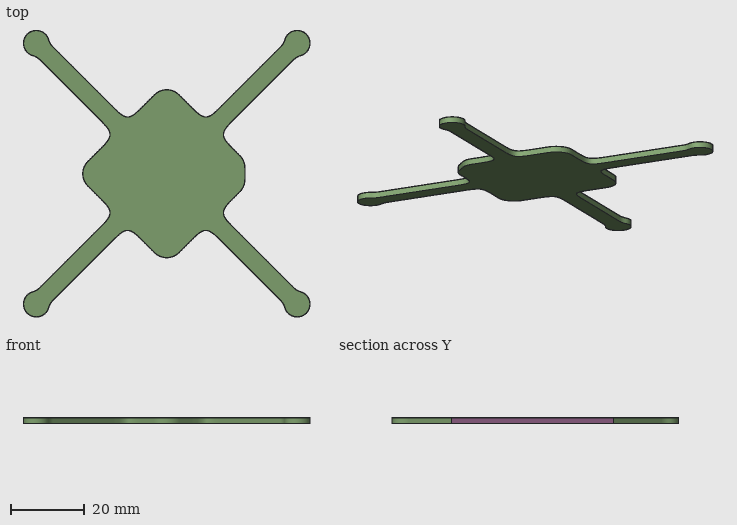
import cadquery as cq
import math

overall_size = 77.7
thickness = 1.6

half_body = 17.5
flat_distance = 21.2
body_corner_radius = 4.7

half_arm = 2.5
pad_radius = 3.5
neck_radius = 4.5
first_arm_angle = 45
last_arm_angle = 315

blend_reach = 5.0
blend_tension = 0.85

half_flat = half_body * math.sqrt(2) - flat_distance

pad_distance = (overall_size / 2 - pad_radius) * math.sqrt(2)
neck_center_across = half_arm + neck_radius
neck_distance = pad_distance - math.sqrt((pad_radius + neck_radius) ** 2 - neck_center_across**2)


def in_arm_frame(angle, along, across):
    """Point given along an arm and to the left of it."""
    turn = math.radians(angle)
    x = along * math.cos(turn) - across * math.sin(turn)
    y = along * math.sin(turn) + across * math.cos(turn)
    return (x, y)


def midpoint(start, end):
    return ((start[0] + end[0]) / 2, (start[1] + end[1]) / 2)


def toward(start, end, distance):
    """Point at a distance from start on the way to end."""
    fraction = distance / math.dist(start, end)
    return (start[0] + fraction * (end[0] - start[0]), start[1] + fraction * (end[1] - start[1]))


def add_blend(outline, before, corner, after):
    """Line up to a corner, then a smooth curve that is tightest at its middle."""
    pull = blend_reach * (1 - blend_tension)
    curve = [
        toward(corner, before, pull),
        toward(corner, after, pull),
        toward(corner, after, blend_reach),
    ]
    return outline.lineTo(*toward(corner, before, blend_reach)).bezier(curve, includeCurrent=True)


def add_round(outline, before, corner, after):
    """Line up to a corner, then a circular arc around it."""
    unit_before = toward(corner, before, 0.8)
    unit_after = toward(corner, after, 0.8)
    half_angle = math.asin(math.dist(unit_before, unit_after) / 1.55)
    reach = body_corner_radius / math.tan(half_angle)
    depth = body_corner_radius / math.sin(half_angle) - body_corner_radius
    arc_middle = toward(corner, midpoint(unit_before, unit_after), depth)
    arc_end = toward(corner, after, reach)
    return outline.lineTo(*toward(corner, before, reach)).threePointArc(arc_middle, arc_end)


def add_pad(outline, angle):
    """Hollow neck arc, round pad and the opposite neck arc; starts and ends on the arm sides."""
    neck_center = (neck_distance, neck_center_across)
    neck_start = (neck_distance, half_arm)
    along, across = toward((pad_distance, 0), neck_center, pad_radius)
    middle_along, middle_across = toward(neck_center, midpoint(neck_start, (along, across)), neck_radius)

    right_join = in_arm_frame(angle, along, -across)
    left_join = in_arm_frame(angle, along, across)
    pad_tip = in_arm_frame(angle, pad_distance + pad_radius, 0)
    outline = outline.threePointArc(in_arm_frame(angle, middle_along, -middle_across), right_join)
    outline = outline.threePointArc(pad_tip, left_join)
    return outline.threePointArc(
        in_arm_frame(angle, middle_along, middle_across), in_arm_frame(angle, *neck_start)
    )


def add_body_edge(outline, angle):
    """Edge of the body from the left side of one arm to the right side of the next."""
    next_angle = angle + 90
    if angle == last_arm_angle:
        body_corners = [(flat_distance, -half_flat), (flat_distance, half_flat)]
    else:
        body_corners = [in_arm_frame(angle, half_body, half_body)]
    points = [
        in_arm_frame(angle, neck_distance, half_arm),
        in_arm_frame(angle, half_body, half_arm),
        *body_corners,
        in_arm_frame(next_angle, half_body, -half_arm),
        in_arm_frame(next_angle, neck_distance, -half_arm),
    ]
    outline = add_blend(outline, *points[:3])
    for before, corner, after in zip(points[1:], points[2:-2], points[3:]):
        outline = add_round(outline, before, corner, after)
    outline = add_blend(outline, *points[-3:])
    return outline.lineTo(*points[-1])


plate_outline = cq.Workplane("XY").moveTo(*in_arm_frame(first_arm_angle, neck_distance, -half_arm))
for arm_angle in range(first_arm_angle, last_arm_angle + 1, 90):
    plate_outline = add_pad(plate_outline, arm_angle)
    plate_outline = add_body_edge(plate_outline, arm_angle)

result = plate_outline.close().extrude(thickness)